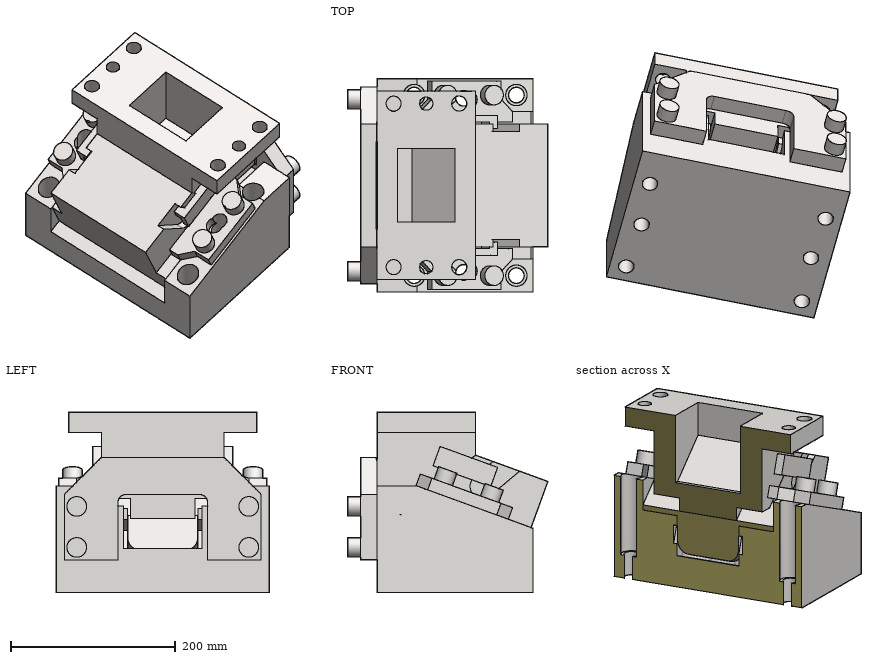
import cadquery as cq
import math

SLIDE_ANGLE = math.radians(20)
WEDGE_ANGLE = math.radians(60)
WEDGE_RUN = 1 / math.tan(WEDGE_ANGLE)
WEDGE_TILT = WEDGE_ANGLE - SLIDE_ANGLE
DOWN_SLOPE = cq.Vector(math.cos(SLIDE_ANGLE), 0, -math.sin(SLIDE_ANGLE))
SLOPE_NORMAL = cq.Vector(math.sin(SLIDE_ANGLE), 0, math.cos(SLIDE_ANGLE))
FAR = 520.0

BASE_LENGTH = 190.0
BASE_WIDTH = 260.0
BASE_HEIGHT = 130.0
SLOPE_START = 48.4
CHANNEL_HALF_WIDTH = 90.0
CHANNEL_DEPTH = 39.5
GUIDE_HALF_WIDTH = 77.0

WINDOW_HALF_WIDTH = 47.5
WINDOW_SILL = 54.0
WINDOW_WALL = 9.0
FLOOR_SLAB = 12.5
CAVITY_END = 15.0
LUG_SLOT_HALF_WIDTH = 42.6
LUG_SLOT_END = 59.8
LUG_SLOT_RADIUS = 26.0

MOUNT_X = (45.0, 169.5)
MOUNT_Y = 110.0
MOUNT_RADIUS = 9.4
MOUNT_BORE_RADIUS = 13.0
MOUNT_SEAT = 30.0

PLATE_THICKNESS = 20.0
PLATE_WIDTH = 239.7
PLATE_BOTTOM = 40.0
PLATE_TOP = 164.8
PLATE_CHAMFER = 45.0
PLATE_OPENING_WIDTH = 109.2
PLATE_OPENING_TOP = 119.5
PLATE_OPENING_RADIUS = 10.0
PLATE_RELIEF = 1.0

HEAD_RADIUS = 12.0
HEAD_HEIGHT = 16.0
PLATE_BOLT_Y = 104.8
PLATE_BOLT_Z = (55.0, 105.0)

GIB_START = -1.0
GIB_LENGTH = 119.5
GIB_THICKNESS = 15.0
GIB_OUTER = 127.0
GIB_CHAMFER = 15.0
GIB_BOLT_PITCH = 60.0
GIB_BOLT_Y = 110.0
GIB_HOLE_ALONG = 63.0
GIB_HOLE_Y = 104.5
GIB_HOLE_RADIUS = 10.0
DOWEL_X = 105.3
DOWEL_Y = 106.0

SLIDER_HALF_WIDTH = 75.0
SLIDER_TOP = 59.8
SLIDER_END = 148.2
WEDGE_ALONG = 54.3
LUG_HALF_WIDTH = 42.5
LUG_BOTTOM = -84.2
LUG_THICKNESS = 30.0
LUG_RADIUS = 15.0
GROOVE_WIDTH = 30.0
GROOVE_DEPTH = 9.0
GROOVE_END_ALONG = 75.1
GROOVE_END_HEIGHT = 26.8

FLANGE_LENGTH = 119.9
FLANGE_WIDTH = 229.3
FLANGE_THICKNESS = 25.0
OVERALL_HEIGHT = 220.0
DRIVER_BOTTOM = 114.5
TONGUE_BOTTOM = 90.2
TONGUE_HALF_WIDTH = 39.5
POCKET_START = 25.0
POCKET_END = 94.6
POCKET_WIDTH = 89.5
POCKET_FLOOR = 134.0
POCKET_RAMP_START = 42.0
FLANGE_HOLES = ((20.0, 9.0), (59.8, 8.0), (99.8, 9.0))
FLANGE_HOLE_Y = 99.5

HOOK_START = 10.1
HOOK_END = 84.8
HOOK_BOTTOM = 30.0
HOOK_TOP = 54.9
HOOK_OUTER = 85.3
HOOK_TIP = 69.2
HOOK_TIP_BOTTOM = 44.0


def on_slope(along, height):
    """Point in XZ, given along the slide and square above it."""
    x = SLOPE_START + along * math.cos(SLIDE_ANGLE) + height * math.sin(SLIDE_ANGLE)
    z = BASE_HEIGHT - along * math.sin(SLIDE_ANGLE) + height * math.cos(SLIDE_ANGLE)
    return x, z


def slope_prism(points, y_from, y_to):
    """Slope-aligned outline extruded from y_from up to y_to."""
    return prism([on_slope(*p) for p in points], y_from, y_to)


def prism(points, y_from, y_to):
    """XZ outline extruded from y_from up to y_to."""
    return cq.Workplane("XZ", origin=(0, y_from, 0)).polyline(points).close().extrude(y_from - y_to)


def slope_plane(height):
    """Work plane on the slide: local x runs down the slide and local y along Y."""
    x, z = on_slope(0, height)
    return cq.Plane(origin=(x, 0, z), xDir=DOWN_SLOPE, normal=SLOPE_NORMAL)


def box(x_from, x_to, y_from, y_to, z_from, z_to):
    return cq.Workplane("XY").box(x_to - x_from, y_to - y_from, z_to - z_from, centered=False).translate(
        (x_from, y_from, z_from)
    )


def both_sides(shape):
    return shape.union(shape.mirror("XZ"))


def wedge_along(height, start=WEDGE_ALONG):
    """Distance down the slide of a wedge-parallel line that passes `start` at the slider top."""
    return start - (SLIDER_TOP - height) * WEDGE_RUN


def base_block():
    end_drop = (BASE_LENGTH - SLOPE_START) * math.tan(SLIDE_ANGLE)
    outline = [
        (0, 0), (BASE_LENGTH, 0), (BASE_LENGTH, BASE_HEIGHT - end_drop),
        (SLOPE_START, BASE_HEIGHT), (0, BASE_HEIGHT),
    ]
    return prism(outline, -BASE_WIDTH / 2, BASE_WIDTH / 2)


def slide_channel():
    """Channel for the slider, open at the top and at both ends."""
    lower, upper = -CHANNEL_DEPTH, SLIDER_TOP
    outline = [(-FAR, lower), (FAR, lower), (FAR, upper), (-FAR, upper)]
    return slope_prism(outline, -CHANNEL_HALF_WIDTH, CHANNEL_HALF_WIDTH)


def lug_cavity():
    """Window in the front wall, the cavity behind it and the slot the slider lug runs in."""
    slope_height = BASE_HEIGHT + SLOPE_START * math.tan(SLIDE_ANGLE)
    floor = (WINDOW_SILL - slope_height) * math.cos(SLIDE_ANGLE)
    roof = -CHANNEL_DEPTH - FLOOR_SLAB
    cavity = slope_prism(
        [(-FAR, floor), (CAVITY_END, floor), (CAVITY_END, roof), (-FAR, roof)],
        -WINDOW_HALF_WIDTH, WINDOW_HALF_WIDTH,
    )
    above_sill = slope_prism(
        [(-FAR, floor), (FAR, floor), (FAR, FAR), (-FAR, FAR)],
        -WINDOW_HALF_WIDTH, WINDOW_HALF_WIDTH,
    )
    wall = box(0, WINDOW_WALL, -WINDOW_HALF_WIDTH, WINDOW_HALF_WIDTH, 0, BASE_HEIGHT)
    slot_length = LUG_SLOT_END + BASE_LENGTH
    slot = (
        cq.Workplane(slope_plane(floor))
        .center(LUG_SLOT_END - slot_length / 2, 0)
        .rect(slot_length, 2 * LUG_SLOT_HALF_WIDTH)
        .extrude(-floor - CHANNEL_DEPTH)
        .edges(cq.selectors.ParallelDirSelector(SLOPE_NORMAL))
        .fillet(LUG_SLOT_RADIUS)
    )
    return cavity.union(above_sill.intersect(wall)).union(slot)


def mount_holes():
    spots = [(x, side * MOUNT_Y) for x in MOUNT_X for side in (-1, 1)]
    holes = cq.Workplane("XY").pushPoints(spots).circle(MOUNT_RADIUS).extrude(OVERALL_HEIGHT)
    bores = (
        cq.Workplane("XY", origin=(0, 0, MOUNT_SEAT)).pushPoints(spots).circle(MOUNT_BORE_RADIUS)
        .extrude(OVERALL_HEIGHT)
    )
    return holes.union(bores)


def guide_plate():
    half = PLATE_WIDTH / 2
    shoulder = PLATE_TOP - PLATE_CHAMFER
    crown = half - PLATE_CHAMFER
    plate = (
        cq.Workplane("YZ", origin=(-PLATE_THICKNESS, 0, 0))
        .polyline([
            (-half, PLATE_BOTTOM), (half, PLATE_BOTTOM), (half, shoulder),
            (crown, PLATE_TOP), (-crown, PLATE_TOP), (-half, shoulder),
        ])
        .close().extrude(PLATE_THICKNESS)
    )
    opening = box(
        -PLATE_THICKNESS, 0, -PLATE_OPENING_WIDTH / 2, PLATE_OPENING_WIDTH / 2, 0, PLATE_OPENING_TOP
    ).edges("|X and >Z").fillet(PLATE_OPENING_RADIUS)
    relief = box(
        -PLATE_RELIEF, 0, -GUIDE_HALF_WIDTH, GUIDE_HALF_WIDTH, DRIVER_BOTTOM, PLATE_TOP
    )
    heads = (
        cq.Workplane("YZ", origin=(-PLATE_THICKNESS, 0, 0))
        .pushPoints([(side * PLATE_BOLT_Y, z) for z in PLATE_BOLT_Z for side in (-1, 1)])
        .circle(HEAD_RADIUS).extrude(-HEAD_HEIGHT)
    )
    return plate.cut(opening).cut(relief).union(heads)


def gib():
    """Gib plate at -Y with its two bolt heads."""
    end = GIB_START + GIB_LENGTH
    corner = CHANNEL_HALF_WIDTH + GIB_CHAMFER
    plate = (
        cq.Workplane(slope_plane(0))
        .polyline([
            (GIB_START, -GUIDE_HALF_WIDTH), (GIB_START, -CHANNEL_HALF_WIDTH),
            (GIB_START + GIB_CHAMFER, -corner), (GIB_START + GIB_CHAMFER, -GIB_OUTER),
            (end - GIB_CHAMFER, -GIB_OUTER), (end - GIB_CHAMFER, -corner),
            (end, -CHANNEL_HALF_WIDTH), (end, -GUIDE_HALF_WIDTH),
        ])
        .close().extrude(GIB_THICKNESS)
    )
    middle = GIB_START + GIB_LENGTH / 2
    heads = (
        cq.Workplane(slope_plane(GIB_THICKNESS))
        .pushPoints([(middle + side * GIB_BOLT_PITCH / 2, -GIB_BOLT_Y) for side in (-1, 1)])
        .circle(HEAD_RADIUS).extrude(HEAD_HEIGHT)
    )
    return plate.union(heads)


def gib_hole():
    return (
        cq.Workplane(slope_plane(GIB_THICKNESS)).center(GIB_HOLE_ALONG, -GIB_HOLE_Y)
        .circle(GIB_HOLE_RADIUS).extrude(-GIB_THICKNESS)
    )


def dowel_hole():
    """Upright hole through the base at -Y that also breaks through the gib plate."""
    return cq.Workplane("XY").center(DOWEL_X, -DOWEL_Y).circle(MOUNT_RADIUS).extrude(OVERALL_HEIGHT)


def build_base():
    body = base_block().cut(slide_channel()).cut(lug_cavity())
    body = body.union(both_sides(gib())).cut(both_sides(gib_hole())).cut(both_sides(dowel_hole()))
    body = body.cut(mount_holes())
    return body.union(guide_plate())


def slider_groove():
    """Wedge-parallel groove with a round end in the -Y side of the slider."""
    radius = GROOVE_WIDTH / 2
    x, z = on_slope(GROOVE_END_ALONG, GROOVE_END_HEIGHT)
    groove = (
        cq.Workplane("XZ", origin=(0, -SLIDER_HALF_WIDTH, 0))
        .moveTo(0, radius).lineTo(FAR, radius).lineTo(FAR, -radius).lineTo(0, -radius)
        .threePointArc((-radius, 0), (0, radius)).close().extrude(-GROOVE_DEPTH)
    )
    return groove.rotate((0, 0, 0), (0, 1, 0), -math.degrees(WEDGE_TILT)).translate((x, 0, z))


def slider_lug():
    front = wedge_along(-CHANNEL_DEPTH)
    back = front + LUG_THICKNESS
    outline = [(front, LUG_BOTTOM), (back, LUG_BOTTOM), (back, -CHANNEL_DEPTH), (front, -CHANNEL_DEPTH)]
    lug = slope_prism(outline, -LUG_HALF_WIDTH, LUG_HALF_WIDTH)
    return lug.edges(cq.selectors.ParallelDirSelector(DOWN_SLOPE)).edges("<Z").fillet(LUG_RADIUS)


def build_slider():
    bottom = -CHANNEL_DEPTH
    foot = slope_prism(
        [(wedge_along(bottom), bottom), (SLIDER_END, bottom), (SLIDER_END, 0), (wedge_along(0), 0)],
        -CHANNEL_HALF_WIDTH, CHANNEL_HALF_WIDTH,
    )
    upper = slope_prism(
        [(wedge_along(0), 0), (SLIDER_END, 0), (SLIDER_END, SLIDER_TOP), (WEDGE_ALONG, SLIDER_TOP)],
        -SLIDER_HALF_WIDTH, SLIDER_HALF_WIDTH,
    )
    return foot.union(upper).union(slider_lug()).cut(both_sides(slider_groove()))


def wedge_x(z):
    """X of the wedge face at height z."""
    x_top, z_top = on_slope(WEDGE_ALONG, SLIDER_TOP)
    return x_top - (z_top - z) / math.tan(WEDGE_TILT)


def driver_block():
    flange_bottom = OVERALL_HEIGHT - FLANGE_THICKNESS
    flange = box(0, FLANGE_LENGTH, -FLANGE_WIDTH / 2, FLANGE_WIDTH / 2, flange_bottom, OVERALL_HEIGHT)
    wedge_top = on_slope(WEDGE_ALONG, SLIDER_TOP)
    stem = prism(
        [
            (0, DRIVER_BOTTOM), (wedge_x(DRIVER_BOTTOM), DRIVER_BOTTOM), wedge_top,
            (FLANGE_LENGTH, wedge_top[1]), (FLANGE_LENGTH, flange_bottom), (0, flange_bottom),
        ],
        -SLIDER_HALF_WIDTH, SLIDER_HALF_WIDTH,
    )
    tongue = prism(
        [
            (0, TONGUE_BOTTOM), (wedge_x(TONGUE_BOTTOM), TONGUE_BOTTOM),
            (wedge_x(DRIVER_BOTTOM), DRIVER_BOTTOM), (0, DRIVER_BOTTOM),
        ],
        -TONGUE_HALF_WIDTH, TONGUE_HALF_WIDTH,
    )
    return flange.union(stem).union(tongue)


def driver_pocket():
    ramp_rise = (POCKET_END - POCKET_RAMP_START) * math.tan(WEDGE_TILT)
    outline = [
        (POCKET_START, OVERALL_HEIGHT), (POCKET_START, POCKET_FLOOR), (POCKET_RAMP_START, POCKET_FLOOR),
        (POCKET_END, POCKET_FLOOR + ramp_rise), (POCKET_END, OVERALL_HEIGHT),
    ]
    return prism(outline, -POCKET_WIDTH / 2, POCKET_WIDTH / 2)


def flange_holes():
    holes = cq.Workplane("XY")
    for x, radius in FLANGE_HOLES:
        pair = (
            cq.Workplane("XY", origin=(x, 0, OVERALL_HEIGHT))
            .pushPoints([(0, side * FLANGE_HOLE_Y) for side in (-1, 1)])
            .circle(radius).extrude(-FLANGE_THICKNESS)
        )
        holes = holes.union(pair)
    return holes


def hook():
    """Return hook on the -Y side: a plate, a pad joining it to the stem and a tip in the groove."""
    plate = slope_prism(
        [(HOOK_START, HOOK_BOTTOM), (HOOK_END, HOOK_BOTTOM), (HOOK_END, HOOK_TOP), (HOOK_START, HOOK_TOP)],
        -HOOK_OUTER, -GUIDE_HALF_WIDTH,
    )
    pad = slope_prism(
        [
            (HOOK_START, HOOK_BOTTOM), (wedge_along(HOOK_BOTTOM), HOOK_BOTTOM),
            (wedge_along(HOOK_TOP), HOOK_TOP), (HOOK_START, HOOK_TOP),
        ],
        -GUIDE_HALF_WIDTH, -SLIDER_HALF_WIDTH,
    )
    groove_top = GROOVE_END_ALONG + (SLIDER_TOP - GROOVE_END_HEIGHT) * WEDGE_RUN
    groove_edge = groove_top - GROOVE_WIDTH / 2 / math.sin(WEDGE_ANGLE)
    tip = slope_prism(
        [
            (wedge_along(HOOK_TIP_BOTTOM, groove_edge), HOOK_TIP_BOTTOM), (HOOK_END, HOOK_TIP_BOTTOM),
            (HOOK_END, HOOK_TOP), (wedge_along(HOOK_TOP, groove_edge), HOOK_TOP),
        ],
        -GUIDE_HALF_WIDTH, -HOOK_TIP,
    )
    return plate.union(pad).union(tip)


def build_driver():
    body = driver_block().cut(driver_pocket()).cut(flange_holes())
    return body.union(both_sides(hook()))


base = build_base()
slider = build_slider()
driver = build_driver()
result = cq.Compound.makeCompound([*base.solids().vals(), *slider.solids().vals(), *driver.solids().vals()])